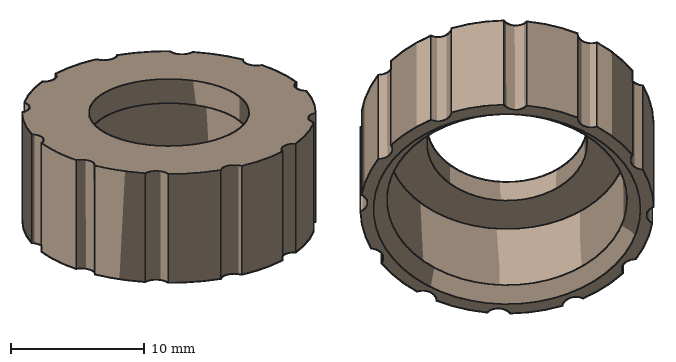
import cadquery as cq

height = 9.0
outer_diameter = 22.0
bore_diameter = 12.0
cavity_diameter = 18.0
lip_thickness = 2.0
mouth_chamfer = 1.0

groove_count = 12
groove_radius = 1.0
groove_circle_diameter = 23.0


def ring_body():
    """Plain outer cylinder standing on Z = 0."""
    return cq.Workplane("XY").circle(outer_diameter / 2).extrude(height)


def stepped_bore():
    """Revolved void: bore, wider cavity and 45-degree flared mouth."""
    bore_radius = bore_diameter / 2
    cavity_radius = cavity_diameter / 2
    cavity_top = height - lip_thickness
    return (
        cq.Workplane("XZ")
        .moveTo(0, 0)
        .lineTo(cavity_radius + mouth_chamfer, 0)
        .lineTo(cavity_radius, mouth_chamfer)
        .lineTo(cavity_radius, cavity_top)
        .lineTo(bore_radius, cavity_top)
        .lineTo(bore_radius, height)
        .lineTo(0, height)
        .close()
        .revolve(360, (0, 0), (0, 1))
    )


def grip_grooves():
    """Evenly spaced round cutters, one of them on the X axis."""
    return (
        cq.Workplane("XY")
        .polarArray(groove_circle_diameter / 2, 0, 360, groove_count)
        .circle(groove_radius)
        .extrude(height)
    )


result = ring_body().cut(stepped_bore()).cut(grip_grooves())